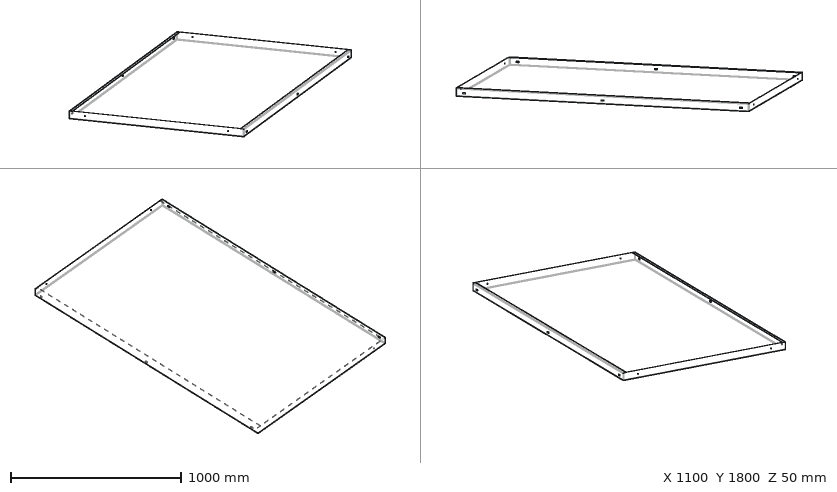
import cadquery as cq

width = 1100.0
length = 1800.0
height = 50.0
sheet = 2.5
bend_radius = 5.0
inner_radius = bend_radius - sheet

flange_width = 22.0

end_hole_diameter = 5.0
end_hole_x = 450.0
end_hole_z = 27.0

slot_length = 18.0
slot_height = 7.0
slot_z = 22.0
slot_end_y = 850.0


def rounded_block(x_size, y_size, z_size, radius):
    """Block on Z = 0 with rounded upright corners and floor edges."""
    block = cq.Workplane("XY").box(x_size, y_size, z_size, centered=(True, True, False))
    block = block.edges("|Z").fillet(radius)
    block = block.faces("<Z").edges().fillet(radius)
    return block


def long_edge_bend(x_size, z_top, radius):
    """Bar along Y whose two long top edges are rounded."""
    return (
        cq.Workplane("XY")
        .box(x_size, length, z_top, centered=(True, True, False))
        .edges("|Y and >Z")
        .fillet(radius)
    )


def make_tray():
    outer = rounded_block(width, length, height, bend_radius)
    outer = outer.intersect(long_edge_bend(width, height, bend_radius))
    inner_width = width - 2 * sheet
    inner_height = height - 2 * sheet
    inner = rounded_block(inner_width, length - 2 * sheet, inner_height, inner_radius)
    inner = inner.intersect(long_edge_bend(inner_width, inner_height, inner_radius))
    opening = cq.Workplane("XY").box(
        width - 2 * flange_width,
        length - 2 * sheet,
        height / 2,
        centered=(True, True, False),
    )
    tray = outer.cut(inner.translate((0, 0, sheet)))
    return tray.cut(opening.translate((0, 0, height / 2)))


def end_wall_holes():
    return (
        cq.Workplane("XZ")
        .pushPoints([(-end_hole_x, end_hole_z), (end_hole_x, end_hole_z)])
        .circle(end_hole_diameter / 2)
        .extrude(length, both=True)
    )


def long_wall_slots():
    return (
        cq.Workplane("YZ")
        .pushPoints([(y, slot_z) for y in (-slot_end_y, 0, slot_end_y)])
        .slot2D(slot_length, slot_height)
        .extrude(width, both=True)
    )


result = make_tray().cut(end_wall_holes()).cut(long_wall_slots())